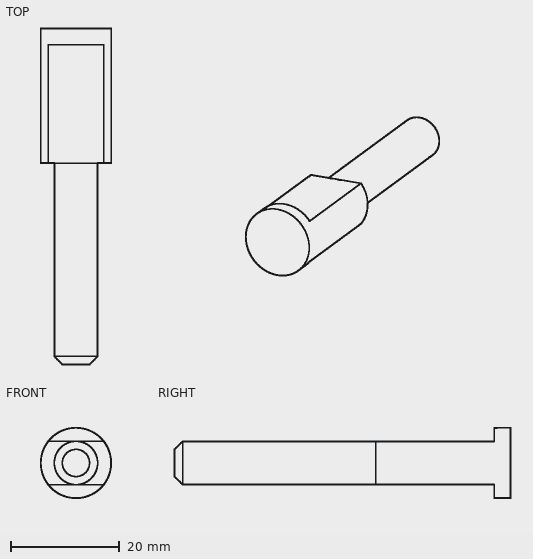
import cadquery as cq

total_length = 61.8
head_diameter = 13.0
head_thickness = 3.0
shank_diameter = 8.0
shank_length = 37.0
tip_chamfer = 1.5
flat_thickness = shank_diameter

tip_y = -total_length / 2
shoulder_y = tip_y + shank_length
body_length = total_length - shank_length
flat_length = body_length - head_thickness


def cylinder_along_y(diameter, start_y, length):
    """Solid cylinder on the Y axis, growing toward +Y from start_y."""
    return (
        cq.Workplane("XZ", origin=(0, start_y, 0))
        .circle(diameter / 2)
        .extrude(-length)
    )


def flat_cutter(side):
    """Block that removes the body above (side = 1) or below (side = -1) a flat."""
    height = head_diameter / 2
    center_y = shoulder_y + flat_length / 2
    center_z = side * (flat_thickness + height) / 2
    return (
        cq.Workplane("XY")
        .box(head_diameter, flat_length, height)
        .translate((0, center_y, center_z))
    )


body = cylinder_along_y(head_diameter, shoulder_y, body_length)
for side in (1, -1):
    body = body.cut(flat_cutter(side))

shank = cylinder_along_y(shank_diameter, tip_y, shank_length)
shank = shank.faces("<Y").chamfer(tip_chamfer)

result = body.union(shank)